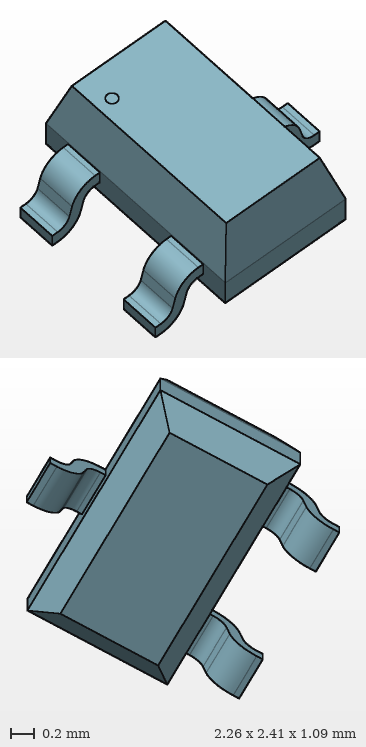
import cadquery as cq
import math

HOUSING_LENGTH = 2.26
HOUSING_WIDTH = 1.345
HOUSING_HEIGHT = 1.09
BAND_BOTTOM = 0.28
BAND_TOP = 0.56
TOP_INSET_X = 0.157
TOP_INSET_Y = 0.15
BOTTOM_INSET = 0.202

LEAD_SPAN = 2.41
LEAD_WIDTH = 0.402
LEAD_THICKNESS = 0.133
LEAD_TOP = 0.542
SHOULDER_LENGTH = 0.053
INNER_RADIUS = 0.135
OUTER_RADIUS = INNER_RADIUS + LEAD_THICKNESS
LEAN = math.radians(15)
LEAD_OFFSET = 0.65

MARKER_DIAMETER = 0.113
MARKER_DEPTH = 0.02
MARKER_X = -LEAD_OFFSET
MARKER_Y = -0.36


def make_frustum(bottom_z, top_z, bottom_inset, top_inset):
    """Rectangular block whose ends are inset by (x, y) from the full housing outline."""
    bottom_inset_x, bottom_inset_y = bottom_inset
    top_inset_x, top_inset_y = top_inset
    return (
        cq.Workplane("XY", origin=(0, 0, bottom_z))
        .rect(HOUSING_LENGTH - 2 * bottom_inset_x, HOUSING_WIDTH - 2 * bottom_inset_y)
        .workplane(offset=top_z - bottom_z)
        .rect(HOUSING_LENGTH - 2 * top_inset_x, HOUSING_WIDTH - 2 * top_inset_y)
        .loft(ruled=True)
    )


def make_marker():
    return (
        cq.Workplane("XY", origin=(MARKER_X, MARKER_Y, HOUSING_HEIGHT - MARKER_DEPTH))
        .circle(MARKER_DIAMETER / 2)
        .extrude(MARKER_DEPTH)
    )


def make_housing():
    """Housing with a recess that the marker fills."""
    no_inset = (0, 0)
    base = make_frustum(0, BAND_BOTTOM, (BOTTOM_INSET, BOTTOM_INSET), no_inset)
    band = make_frustum(BAND_BOTTOM, BAND_TOP, no_inset, no_inset)
    cap = make_frustum(BAND_TOP, HOUSING_HEIGHT, no_inset, (TOP_INSET_X, TOP_INSET_Y))
    return base.union(band).union(cap).cut(make_marker())


def make_lead():
    """Lead centred on X = 0, running from the housing's +Y face to its foot."""
    root_y = HOUSING_WIDTH / 2
    tip_y = LEAD_SPAN / 2

    bend_radii = OUTER_RADIUS + INNER_RADIUS
    leg_height = LEAD_TOP - LEAD_THICKNESS - bend_radii * (1 - math.sin(LEAN))
    bend_spacing = bend_radii * math.cos(LEAN) + leg_height * math.tan(LEAN)

    upper_y = root_y + SHOULDER_LENGTH
    upper_z = LEAD_TOP - OUTER_RADIUS
    lower_y = upper_y + bend_spacing
    lower_z = OUTER_RADIUS
    half_bend = (math.pi / 2 + LEAN) / 2

    def upper_bend(radius, angle):
        return (upper_y + radius * math.cos(angle), upper_z + radius * math.sin(angle))

    def lower_bend(radius, angle):
        return (lower_y - radius * math.cos(angle), lower_z - radius * math.sin(angle))

    return (
        cq.Workplane("YZ", origin=(-LEAD_WIDTH / 2, 0, 0))
        .moveTo(root_y, LEAD_TOP)
        .lineTo(upper_y, LEAD_TOP)
        .threePointArc(upper_bend(OUTER_RADIUS, half_bend), upper_bend(OUTER_RADIUS, LEAN))
        .lineTo(*lower_bend(INNER_RADIUS, LEAN))
        .threePointArc(lower_bend(INNER_RADIUS, half_bend), (lower_y, LEAD_THICKNESS))
        .lineTo(tip_y, LEAD_THICKNESS)
        .lineTo(tip_y, 0)
        .lineTo(lower_y, 0)
        .threePointArc(lower_bend(OUTER_RADIUS, half_bend), lower_bend(OUTER_RADIUS, LEAN))
        .lineTo(*upper_bend(INNER_RADIUS, LEAN))
        .threePointArc(upper_bend(INNER_RADIUS, half_bend), (upper_y, LEAD_TOP - LEAD_THICKNESS))
        .lineTo(root_y, LEAD_TOP - LEAD_THICKNESS)
        .close()
        .extrude(LEAD_WIDTH)
    )


def place_lead(x, turn):
    """A lead turned about the vertical axis, then moved along X."""
    return make_lead().rotate((0, 0, 0), (0, 0, 1), turn).translate((x, 0, 0))


LEAD_PLACES = [(0, 0), (-LEAD_OFFSET, 180), (LEAD_OFFSET, 180)]

housing = make_housing()
marker = make_marker()
leads = [place_lead(x, turn).val() for x, turn in LEAD_PLACES]

result = cq.Compound.makeCompound([housing.val(), marker.val(), *leads])